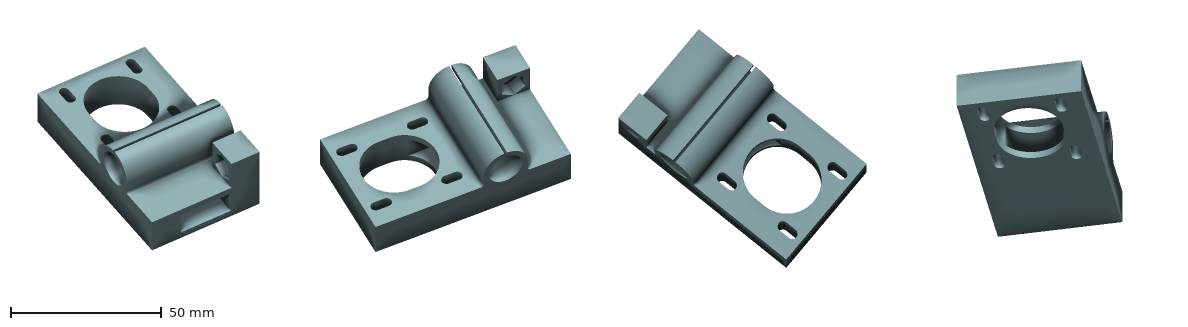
import cadquery as cq
import math

base_length = 72.0
base_width = 42.0
base_height = 13.0

motor_x = 19.0
motor_y = base_width / 2
adjust_travel = 4.0
motor_opening_diameter = 23.0
motor_screw_diameter = 3.5
motor_screw_spacing = 26.0

channel_width = 19.5
channel_height = 8.0

rod_x = 48.0
rod_z = 18.0
rod_bore_diameter = 12.25
clamp_wall = 2.0
clamp_radius = rod_bore_diameter / 2 + clamp_wall
clamp_slit_width = 1.0
clamp_root_fillet = 1.0

nut_block_length = 12.0
nut_block_width = 11.0
nut_block_height = 11.0
nut_x = base_length - nut_block_length / 2
nut_z = rod_z
nut_across_flats = 8.5
nut_sides = 6
nut_across_corners = nut_across_flats / math.cos(math.pi / nut_sides)
nut_pocket_depth = 5.0
nut_bolt_diameter = 5.5


def box_at(x, y, z, length, width, height):
    """Box with its lower corner at (x, y, z)."""
    return cq.Workplane("XY").box(length, width, height, centered=False).translate((x, y, z))


def xz_plane(y):
    """Workplane at the given Y, facing +Y; its local x axis points along -X."""
    return cq.Workplane(cq.Plane(origin=(0, y, 0), xDir=(-1, 0, 0), normal=(0, 1, 0)))


def rod_clamp():
    """Upright with a rounded top and concave fillets where it meets the base."""
    left = rod_x - clamp_radius
    right = rod_x + clamp_radius
    fillet_top = base_height + clamp_root_fillet
    fillet_inset = clamp_root_fillet * (1 - math.sqrt(0.5))
    root_z = base_height + fillet_inset
    return (
        cq.Workplane("XZ")
        .moveTo(left - clamp_root_fillet, base_height)
        .threePointArc((left - fillet_inset, root_z), (left, fillet_top))
        .lineTo(left, rod_z)
        .threePointArc((rod_x, rod_z + clamp_radius), (right, rod_z))
        .lineTo(right, fillet_top)
        .threePointArc((right + fillet_inset, root_z), (right + clamp_root_fillet, base_height))
        .close()
        .extrude(-base_width)
    )


def rod_clearance():
    """Rod bore and the slit that opens it at the top."""
    bore = xz_plane(0).center(-rod_x, rod_z).circle(rod_bore_diameter / 2).extrude(base_width)
    slit_height = 2 * clamp_radius
    slit = box_at(rod_x - clamp_slit_width / 2, 0, rod_z, clamp_slit_width, base_width, slit_height)
    return bore.union(slit)


def motor_cutouts():
    """Stretched motor opening with four screw slots, through the base."""
    opening = (
        cq.Workplane("XY")
        .center(motor_x, motor_y)
        .slot2D(motor_opening_diameter + adjust_travel, motor_opening_diameter)
        .extrude(base_height)
    )
    screw_slots = (
        cq.Workplane("XY")
        .center(motor_x, motor_y)
        .rect(motor_screw_spacing, motor_screw_spacing, forConstruction=True)
        .vertices()
        .slot2D(motor_screw_diameter + adjust_travel, motor_screw_diameter)
        .extrude(base_height)
    )
    return opening.union(screw_slots)


def belt_channel():
    """Rectangular passage from the motor opening to the +X face."""
    return box_at(
        motor_x,
        motor_y - channel_width / 2,
        (base_height - channel_height) / 2,
        base_length - motor_x,
        channel_width,
        channel_height,
    )


def nut_block():
    """Block flush with the +X and +Y faces of the base."""
    return box_at(
        base_length - nut_block_length,
        base_width - nut_block_width,
        base_height,
        nut_block_length,
        nut_block_width,
        nut_block_height,
    )


def nut_cutouts():
    """Hexagonal nut pocket from the -Y face of the block, and the bolt hole through it."""
    block_front = xz_plane(base_width - nut_block_width).center(-nut_x, nut_z)
    pocket = (
        block_front.transformed(rotate=(0, 0, 90))
        .polygon(nut_sides, nut_across_corners)
        .extrude(nut_pocket_depth)
    )
    bolt_hole = block_front.circle(nut_bolt_diameter / 2).extrude(nut_block_width)
    return pocket.union(bolt_hole)


base = box_at(0, 0, 0, base_length, base_width, base_height)
result = (
    base.union(rod_clamp())
    .union(nut_block())
    .cut(rod_clearance())
    .cut(motor_cutouts())
    .cut(belt_channel())
    .cut(nut_cutouts())
)